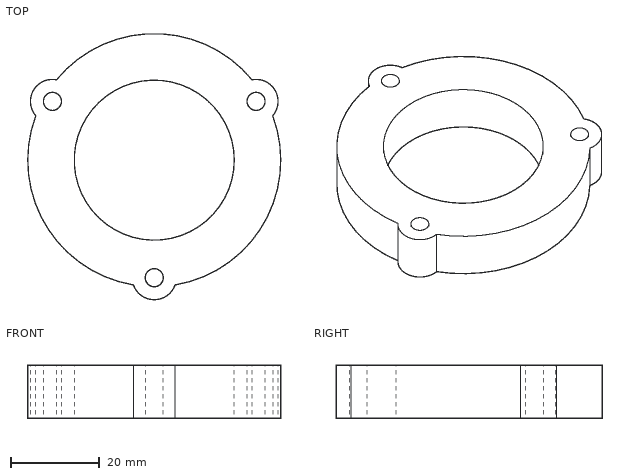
import cadquery as cq

overall_length = 59.9
ring_diameter = 56.95
bore_diameter = 35.95
thickness = 12.0
lug_radius = 5.0
screw_hole_diameter = 4.0
lug_count = 3
front_lug_angle = -90.0

lug_circle_radius = overall_length - ring_diameter / 2 - lug_radius


def lug_cylinders(radius):
    """Cylinders of the given radius, one on each lug axis."""
    return (
        cq.Workplane("XY")
        .polarArray(lug_circle_radius, front_lug_angle, 360, lug_count)
        .circle(radius)
        .extrude(thickness)
    )


ring = cq.Workplane("XY").circle(ring_diameter / 2).extrude(thickness)
body = ring.union(lug_cylinders(lug_radius))

bore = cq.Workplane("XY").circle(bore_diameter / 2).extrude(thickness)
result = body.cut(bore).cut(lug_cylinders(screw_hole_diameter / 2))